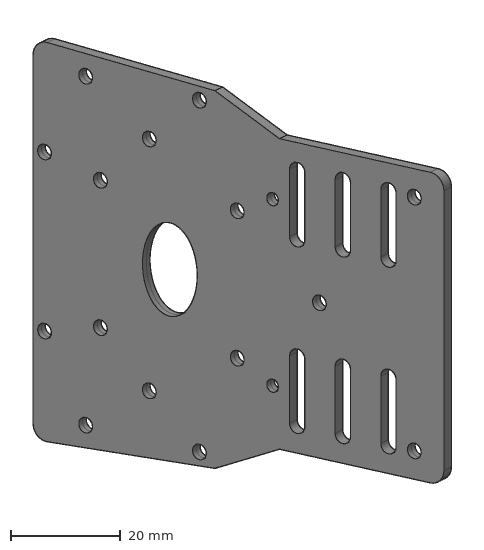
import cadquery as cq

length = 90.0
thickness = 2.5
left_end = -length / 2
right_end = length / 2

left_half_height = 38.7
shoulder_x = -5.1
shoulder_half_height = 36.45
neck_x = 9.0
neck_half_height = 30.0
corner_radius = 3.0

oval_x = -15.0
oval_width = 12.0
oval_height = 18.0

hole_diameter = 3.0
mirrored_holes = [
    (-8.55, 33.9),
    (-33.5, 33.7),
    (-19.5, 24.3),
    (38.5, 24.5),
    (-42.5, 17.3),
    (-30.2, 14.2),
    (-0.3, 14.2),
]
center_hole_x = 17.7
pilot_diameter = 2.5
pilot_x = 7.5
pilot_z = 18.0

slot_length = 16.3
slot_width = 3.3
slot_first_x = 12.9
slot_pitch = 10.0
slots_per_row = 3
slot_z = 18.0


def mirrored(points):
    """Return the points together with their mirror images about the X axis."""
    return points + [(x, -z) for x, z in points]


def make_plate():
    """Extrude the outline, centred through its thickness, and round its end corners."""
    upper = [
        (left_end, left_half_height),
        (shoulder_x, shoulder_half_height),
        (neck_x, neck_half_height),
        (right_end, neck_half_height),
    ]
    lower = [(x, -z) for x, z in reversed(upper)]
    plate = (
        cq.Workplane("XZ")
        .polyline(upper + lower)
        .close()
        .extrude(thickness / 2, both=True)
    )
    return plate.edges("|Y and (<X or >X)").fillet(corner_radius)


def cut_through(plate, sketch):
    """Remove the sketched shapes from the full thickness of the plate."""
    return plate.cut(sketch.extrude(thickness, both=True))


def round_holes(points, diameter):
    """Sketch equal circles at the given points."""
    return cq.Workplane("XZ").pushPoints(points).circle(diameter / 2)


slot_centers = mirrored(
    [(slot_first_x + i * slot_pitch, slot_z) for i in range(slots_per_row)]
)
oval = cq.Workplane("XZ").center(oval_x, 0).ellipse(oval_width / 2, oval_height / 2)
slots = cq.Workplane("XZ").pushPoints(slot_centers).slot2D(slot_length, slot_width, 90)

result = make_plate()
result = cut_through(result, oval)
result = cut_through(result, slots)
result = cut_through(result, round_holes(mirrored(mirrored_holes), hole_diameter))
result = cut_through(result, round_holes([(center_hole_x, 0)], hole_diameter))
result = cut_through(result, round_holes(mirrored([(pilot_x, pilot_z)]), pilot_diameter))